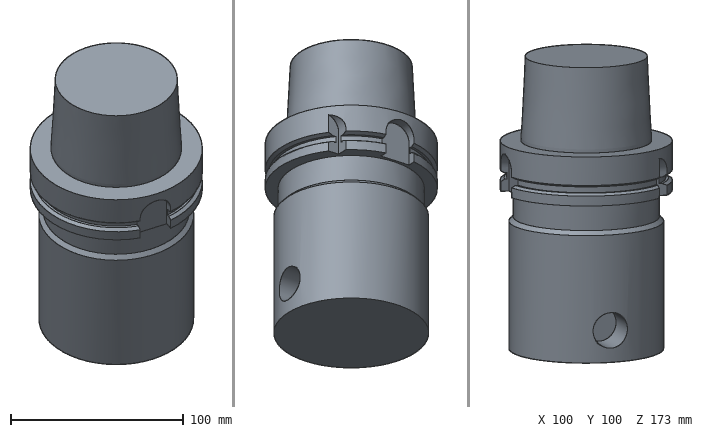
import cadquery as cq


taper_length = 50.0
taper_root_radius = 75.8 / 2
taper_root_height = 2.0
taper_end_radius = 71.0 / 2

flange_radius = 100.0 / 2
flange_width = 29.0
groove_radius = 92.4 / 2
groove_depth_below_face = 20.0
groove_floor_width = 3.75
groove_mouth_width = 6.3
groove_shoulder_radius = 47.75

total_length = 173.0
neck_radius = 85.0 / 2
body_radius = 90.0 / 2
body_chamfer = body_radius - neck_radius
body_bottom = taper_length - total_length
body_top = -47.5

slot_radius = 10.0
slot_arch_center = -15.0
key_slot_floor = 44.0
notch_floor = 31.8
notch_edge = 31.4

side_hole_diameter = 21.0
side_hole_height = body_bottom + 19.0
side_hole_end_radius = 46.0 / 2


def make_turned_body():
    """Revolve the shank, grooved flange, neck and body about Z."""
    floor_top = -groove_depth_below_face + groove_floor_width / 2
    floor_bottom = floor_top - groove_floor_width
    mouth_top = -groove_depth_below_face + groove_mouth_width / 2
    mouth_bottom = mouth_top - groove_mouth_width
    profile = [
        (0, taper_length),
        (taper_end_radius, taper_length),
        (taper_root_radius, taper_root_height),
        (taper_root_radius, 0),
        (flange_radius, 0),
        (flange_radius, mouth_top),
        (groove_shoulder_radius, floor_top),
        (groove_radius, floor_top),
        (groove_radius, floor_bottom),
        (groove_shoulder_radius, floor_bottom),
        (flange_radius, mouth_bottom),
        (flange_radius, -flange_width),
        (neck_radius, -flange_width),
        (neck_radius, body_top + body_chamfer),
        (body_radius, body_top),
        (body_radius, body_bottom),
        (0, body_bottom),
    ]
    return cq.Workplane("XZ").polyline(profile).close().revolve(360, (0, 0), (0, 1))


def make_slot_cutter(center_y, inner_x, outer_x):
    """Round-topped slot along X, open through the underside of the flange."""
    return (
        cq.Workplane("YZ", origin=(inner_x, center_y, 0))
        .moveTo(-slot_radius, -flange_width)
        .lineTo(-slot_radius, slot_arch_center)
        .threePointArc((0, slot_arch_center + slot_radius), (slot_radius, slot_arch_center))
        .lineTo(slot_radius, -flange_width)
        .close()
        .extrude(outer_x - inner_x)
    )


def make_side_hole():
    """Blind radial hole entering the body from +Y."""
    return (
        cq.Workplane("XZ", origin=(0, side_hole_end_radius, side_hole_height))
        .circle(side_hole_diameter / 2)
        .extrude(-(flange_radius - side_hole_end_radius))
    )


result = make_turned_body()

for side in (-1, 1):
    result = result.cut(make_slot_cutter(0, side * key_slot_floor, side * flange_radius))

result = result.cut(make_slot_cutter(notch_edge + slot_radius, -notch_floor, -flange_radius))

result = result.cut(make_side_hole())